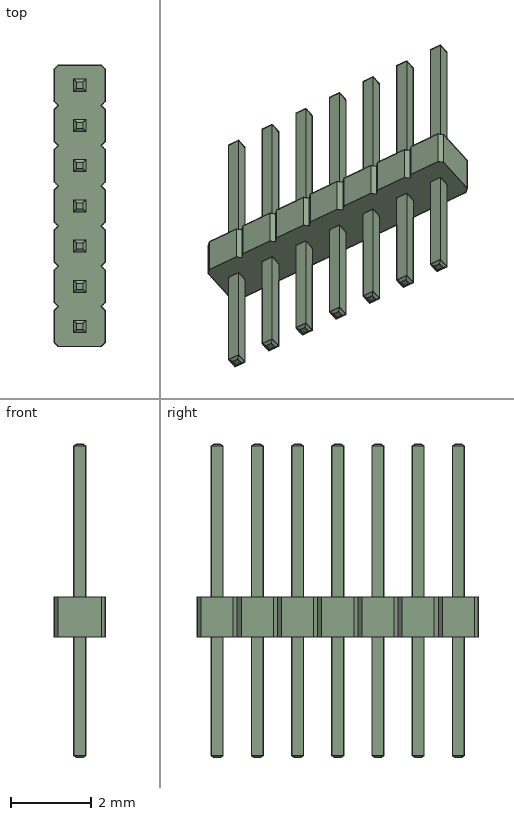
import cadquery as cq

PIN_COUNT = 7
PITCH = 1.0

HOUSING_WIDTH = 1.27
HOUSING_HEIGHT = 1.0
CORNER_CHAMFER = 0.1

PIN_SIDE = 0.3
PIN_ABOVE = 3.8
PIN_BELOW = 3.0
TIP_SIDE = 0.15
TIP_HEIGHT = 0.05

PIN_BOTTOM = -PIN_BELOW
PIN_TOP = HOUSING_HEIGHT + PIN_ABOVE
PIN_POSITIONS = [(i - (PIN_COUNT - 1) / 2) * PITCH for i in range(PIN_COUNT)]


def make_housing_cell(y):
    """One pitch of the housing, a block with chamfered vertical edges."""
    cell = cq.Workplane("XY").box(HOUSING_WIDTH, PITCH, HOUSING_HEIGHT, centered=(True, True, False))
    return cell.edges("|Z").chamfer(CORNER_CHAMFER).translate((0, y, 0))


def make_tip(base_z, end_z):
    """Frustum tapering from the pin section at base_z to the flat tip at end_z."""
    base = cq.Workplane("XY").workplane(offset=base_z).rect(PIN_SIDE, PIN_SIDE)
    return base.workplane(offset=end_z - base_z).rect(TIP_SIDE, TIP_SIDE).loft(ruled=True)


def make_pin(y):
    """Square pin with a tapered tip at each end."""
    shank_bottom = PIN_BOTTOM + TIP_HEIGHT
    shank_top = PIN_TOP - TIP_HEIGHT
    shank = (
        cq.Workplane("XY")
        .workplane(offset=shank_bottom)
        .rect(PIN_SIDE, PIN_SIDE)
        .extrude(shank_top - shank_bottom)
    )
    pin = shank.union(make_tip(shank_top, PIN_TOP)).union(make_tip(shank_bottom, PIN_BOTTOM))
    return pin.translate((0, y, 0))


result = cq.Workplane("XY")
for pin_y in PIN_POSITIONS:
    result = result.union(make_housing_cell(pin_y)).union(make_pin(pin_y))
result = result.clean()